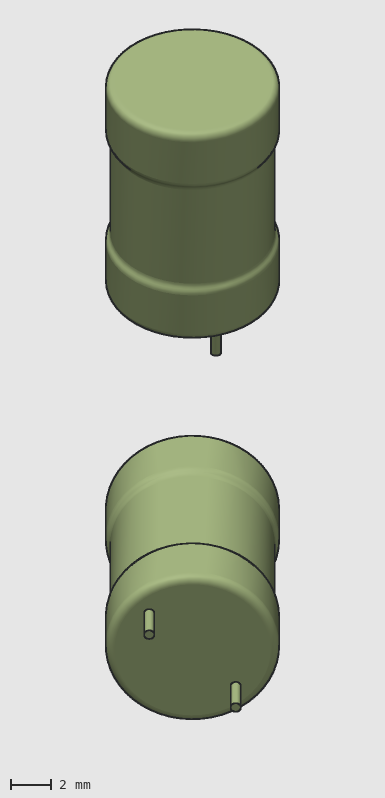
import cadquery as cq
import math

overall_height = 14.92
pin_length = 1.91
pin_diameter = 0.5
pin_spacing = 6.0
can_diameter = 8.5
waist_diameter = 8.07
round_radius = 0.43
lower_shoulder_middle = 3.2
upper_shoulder_middle = 9.67

can_height = overall_height - pin_length
can_radius = can_diameter / 2
waist_radius = waist_diameter / 2

shoulder_radius = (can_radius + waist_radius) / 2
arc_depth = (can_radius - waist_radius) / 2
arc_angle = math.acos(1 - arc_depth / round_radius)
arc_height = round_radius * math.sin(arc_angle)


def make_can():
    """Solid round can with a narrower waist, smooth shoulders and rounded ends."""
    profile = (
        cq.Workplane("XZ")
        .lineTo(can_radius - round_radius, 0)
        .tangentArcPoint((can_radius, round_radius), relative=False)
        .lineTo(can_radius, lower_shoulder_middle - arc_height)
        .tangentArcPoint((shoulder_radius, lower_shoulder_middle), relative=False)
        .tangentArcPoint((waist_radius, lower_shoulder_middle + arc_height), relative=False)
        .lineTo(waist_radius, upper_shoulder_middle - arc_height)
        .tangentArcPoint((shoulder_radius, upper_shoulder_middle), relative=False)
        .tangentArcPoint((can_radius, upper_shoulder_middle + arc_height), relative=False)
        .lineTo(can_radius, can_height - round_radius)
        .tangentArcPoint((can_radius - round_radius, can_height), relative=False)
        .lineTo(0, can_height)
        .close()
    )
    return profile.revolve(360, (0, 0), (0, 1))


def make_pin(x):
    """Straight round lead hanging from the underside of the can."""
    return cq.Workplane("XY").center(x, 0).circle(pin_diameter / 2).extrude(-pin_length)


can = make_can()
pins = [make_pin(side * pin_spacing / 2) for side in (-1, 1)]

result = cq.Compound.makeCompound([can.val(), *[pin.val() for pin in pins]])